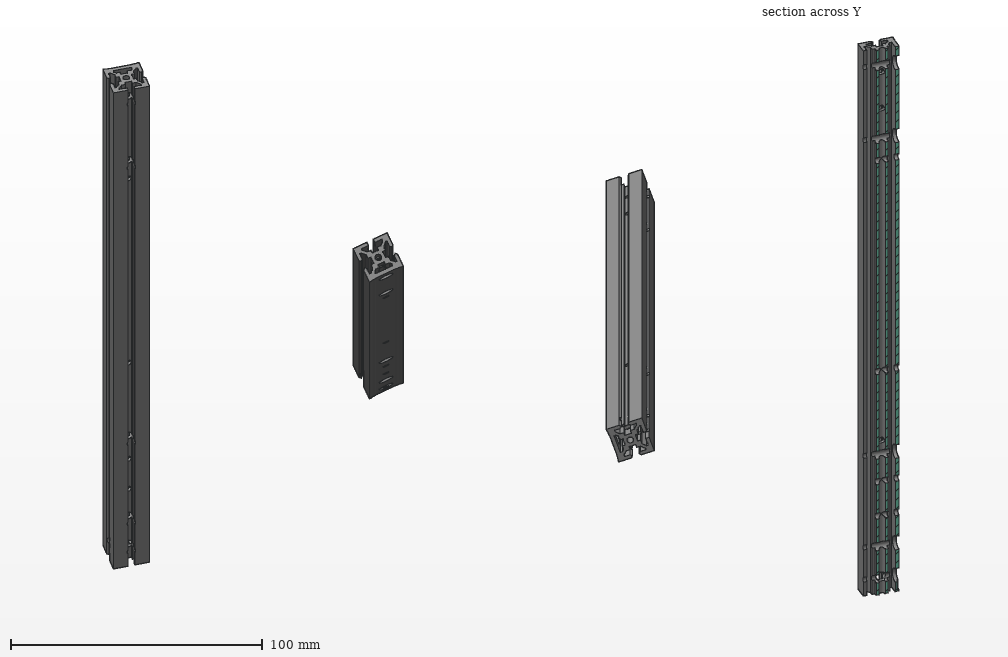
import cadquery as cq

length = 250.0
width = 15.0
half = width / 2

mouth_half = 2.8 / 2
lip_thickness = 1.5
chamber_depth = 2.12
chamber_floor_half = 3.0
chamber_bevel = 1.5
neck_depth = 1.2
bore_radius = 1.2

lip_inner = half - lip_thickness
chamber_floor = lip_inner - chamber_depth
neck_floor = chamber_floor - neck_depth
lip_bevel = lip_thickness / 2

closed_wall = 2.0
closed_chamber_half = 3.8
closed_bevel = closed_chamber_half - chamber_floor_half

recess_half = 6.8
ledge_outer_half = 6.0
ledge_inner_half = 4.8
recess_floor_half = 4.2
ledge_drop = 0.2
recess_drop = 0.32

screw_radius = 1.8
counterbore_radius = 3.0
screw_heights = [7.5, 22.2, 64.2, 209.0, 242.5]
small_hole_radius = 1.2
small_hole_heights_x = [36.2, 52.0, 102.5, 199.2]

small_hole_heights_y = [70.0, 222.2, 239.0]
large_hole_radius = 2.0
large_hole_height = 7.5

slot_half = 1.2
slot_bottom = 0.5
inner_slot_half = 0.5
slot_depth = 0.38
inner_slot_depth = 0.8


def chamber(half_span, bevel, wall):
    """Chamber and neck of a slot behind a wall on the +X side, without the mouth."""
    wall_inner = half - wall
    bevel_top = chamber_floor + bevel
    upper = [
        (neck_floor, mouth_half),
        (chamber_floor, mouth_half),
        (chamber_floor, half_span - bevel),
        (bevel_top, half_span),
        (wall_inner, half_span),
    ]
    lower = [(x, -y) for x, y in reversed(upper)]
    return cq.Workplane("XY").polyline(upper + lower).close().extrude(length)


def square_mouth():
    """Straight-sided gap between the lips on the +X side."""
    return cq.Workplane("XY").box(
        lip_thickness, 2 * mouth_half, length, centered=(False, True, False)
    ).translate((lip_inner, 0, 0))


def pointed_mouth():
    """Gap on the +X side between two lips whose ends are bevelled to a point."""
    edge_half = mouth_half + lip_bevel
    point_depth = half - lip_bevel
    upper = [
        (lip_inner, edge_half),
        (point_depth, mouth_half),
        (half, edge_half),
    ]
    lower = [(x, -y) for x, y in reversed(upper)]
    return cq.Workplane("XY").polyline(upper + lower).close().extrude(length)


def turned(shape, angle):
    """The shape turned about the axis of the bar."""
    return shape.rotate((0, 0, 0), (0, 0, 1), angle)


def face_recess():
    """Stepped strip removed from the middle of the -X face."""
    upper = [
        (-half, recess_half),
        (-half + ledge_drop, ledge_outer_half),
        (-half + ledge_drop, ledge_inner_half),
        (-half + recess_drop, recess_floor_half),
    ]
    lower = [(x, -y) for x, y in reversed(upper)]
    return cq.Workplane("XY").polyline(upper + lower).close().extrude(length)


def drill_x(radius, height, depth):
    """Round hole cut from the -X side toward +X."""
    return (
        cq.Workplane("YZ", origin=(-half, 0, 0))
        .center(0, height)
        .circle(radius)
        .extrude(depth)
    )


def drill_y(radius, height):
    """Round hole right across the bar along Y."""
    return (
        cq.Workplane("XZ", origin=(0, half, 0))
        .center(0, height)
        .circle(radius)
        .extrude(width)
    )


def slot_cut(half_span, depth):
    """Round-ended slot in the -X face, from near the bottom end up into the lowest screw hole."""
    low = slot_bottom + slot_half
    top = screw_heights[0]
    straight = (
        cq.Workplane("YZ", origin=(-half, 0, 0))
        .center(0, (low + top) / 2)
        .rect(2 * half_span, top - low)
        .extrude(depth)
    )
    return straight.union(drill_x(half_span, low, depth))


bar = cq.Workplane("XY").box(width, width, length, centered=(True, True, False))
open_chamber = chamber(chamber_floor_half + chamber_bevel, chamber_bevel, lip_thickness)
bar = bar.cut(open_chamber).cut(square_mouth())
for side in (90, -90):
    bar = bar.cut(turned(open_chamber, side)).cut(turned(pointed_mouth(), side))
bar = bar.cut(turned(chamber(closed_chamber_half, closed_bevel, closed_wall), 180))
bar = bar.cut(cq.Workplane("XY").circle(bore_radius).extrude(length))
bar = bar.cut(face_recess())

for height in screw_heights:
    bar = bar.cut(drill_x(screw_radius, height, width))
    bar = bar.cut(drill_x(counterbore_radius, height, closed_wall))
for height in small_hole_heights_x:
    bar = bar.cut(drill_x(small_hole_radius, height, width))
for height in small_hole_heights_y:
    bar = bar.cut(drill_y(small_hole_radius, height))
bar = bar.cut(drill_y(large_hole_radius, large_hole_height))

bar = bar.cut(slot_cut(slot_half, recess_drop + slot_depth))
bar = bar.cut(slot_cut(inner_slot_half, recess_drop + inner_slot_depth))

result = bar